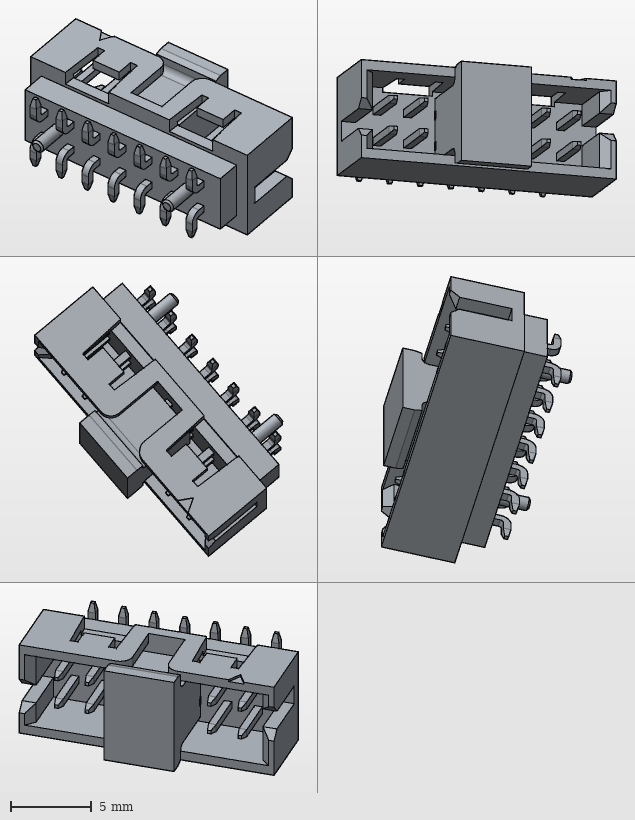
import cadquery as cq


shroud_length = 16.65
shroud_depth = 4.71
shroud_height = 6.28
side_wall = 0.63
end_wall = 0.92
floor_thickness = 0.8
cavity_length = shroud_length - 2 * end_wall
cavity_height = shroud_height - 2 * side_wall
mouth_lead_in = 0.57

base_length = 15.0
base_height = 3.98
base_depth = 1.7

pins_per_row = 7
pin_pitch = 2.0
pin_wire = 0.5
pin_row_offset = 0.98
pin_front = 4.43
pin_rear = -2.91
pin_foot_end = 2.63
pin_taper = 0.6
pin_tip = 0.23
bend_inner_radius = 0.2

peg_diameter = 0.85
peg_end = -3.88
peg_chamfer = 0.13
peg_spacing = 9.99

window_offset = 2 * pin_pitch
window_rear_width = 3.31
window_front_width = 3.01
window_front = 3.2
window_floor = 2.23
tab_width = 2.01
tab_rear = 2.0

notch_width = 2.36
notch_corner_radius = 0.83

slot_near = 0.13
slot_far = 1.13
slot_flare = mouth_lead_in

mark_position = -5.86
mark_width = 1.0
mark_length = 0.85
mark_depth = 0.13

cap_width = 4.58
cap_front = 6.18
cap_rear = 1.1
head_height = 6.35
head_chamfer_front = 5.41
head_rear = 4.93
head_rear_height = 6.08
stem_height = 4.03
fillet_radius = 0.48
cap_foot_width = 0.75


def block(x_range, y_range, z_range):
    """Box given by its limits along each axis."""
    lows, highs = zip(x_range, y_range, z_range)
    sizes = [high - low for low, high in zip(lows, highs)]
    return cq.Workplane("XY").box(*sizes, centered=False).translate(lows)


def centered_block(length, y_range, height):
    """Box centred on the Y axis in X and Z."""
    return block((-length / 2, length / 2), y_range, (-height / 2, height / 2))


def plate(sketch, bottom, top):
    """Extrude an outline drawn in X and Y between two Z levels."""
    return sketch.extrude(top - bottom).translate((0, 0, bottom))


def turned_half_way(shape):
    """The same shape turned half a turn about the Y axis."""
    return shape.rotate((0, 0, 0), (0, 1, 0), 180)


def make_window(center_x):
    """Tapered wall window, open to the rear, with its tab left standing."""
    outline = (
        cq.Workplane("XY")
        .moveTo(center_x - window_rear_width / 2, 0)
        .lineTo(center_x - window_front_width / 2, window_front)
        .lineTo(center_x + window_front_width / 2, window_front)
        .lineTo(center_x + window_rear_width / 2, 0)
        .close()
    )
    opening = plate(outline, window_floor, shroud_height / 2)
    tab = block(
        (center_x - tab_width / 2, center_x + tab_width / 2),
        (tab_rear, window_front),
        (window_floor, shroud_height / 2),
    )
    return opening.cut(tab)


def make_notch():
    """Wall notch open to the front, flaring out in two rounded corners."""
    half = notch_width / 2
    radius = notch_corner_radius
    outline = (
        cq.Workplane("XY")
        .moveTo(-half, floor_thickness)
        .lineTo(half, floor_thickness)
        .lineTo(half, shroud_depth - radius)
        .radiusArc((half + radius, shroud_depth), radius)
        .lineTo(-half - radius, shroud_depth)
        .radiusArc((-half, shroud_depth - radius), radius)
        .close()
    )
    return plate(outline, 0, shroud_height / 2)


def make_end_slot():
    """Slot through the -X end wall, flared at the mouth."""
    outline = (
        cq.Workplane("YZ")
        .moveTo(floor_thickness, -slot_near)
        .lineTo(floor_thickness, slot_far)
        .lineTo(shroud_depth - slot_flare, slot_far)
        .lineTo(shroud_depth, slot_far + slot_flare)
        .lineTo(shroud_depth, -slot_near - slot_flare)
        .lineTo(shroud_depth - slot_flare, -slot_near)
        .close()
    )
    return outline.extrude(end_wall).translate((-shroud_length / 2, 0, 0))


def make_mark():
    """Shallow triangle at the front edge of the upper wall."""
    outline = (
        cq.Workplane("XY")
        .moveTo(mark_position - mark_width / 2, shroud_depth)
        .lineTo(mark_position + mark_width / 2, shroud_depth)
        .lineTo(mark_position, shroud_depth - mark_length)
        .close()
    )
    return plate(outline, shroud_height / 2 - mark_depth, shroud_height / 2)


def make_cavity():
    """Cavity whose end walls slope apart at the mouth."""
    half = cavity_length / 2
    lead_in_start = shroud_depth - mouth_lead_in
    outline = (
        cq.Workplane("XY")
        .moveTo(-half, floor_thickness)
        .lineTo(half, floor_thickness)
        .lineTo(half, lead_in_start)
        .lineTo(half + mouth_lead_in, shroud_depth)
        .lineTo(-half - mouth_lead_in, shroud_depth)
        .lineTo(-half, lead_in_start)
        .close()
    )
    return plate(outline, -cavity_height / 2, cavity_height / 2)


def make_shroud():
    shroud = centered_block(shroud_length, (0, shroud_depth), shroud_height)
    base = centered_block(base_length, (-base_depth, 0), base_height)
    shroud = shroud.cut(make_cavity()).union(base)
    for center_x in (-window_offset, window_offset):
        shroud = shroud.cut(make_window(center_x))
    end_slot = make_end_slot()
    shroud = shroud.cut(make_notch()).cut(make_mark())
    return shroud.cut(end_slot).cut(turned_half_way(end_slot))


def make_pin():
    """One upper-row pin at X = 0: contact, bend and foot, tapered at both ends."""
    lower = pin_row_offset - pin_wire / 2
    upper = pin_row_offset + pin_wire / 2
    bend_outer_radius = bend_inner_radius + pin_wire
    bend_top = upper + bend_inner_radius
    bend_start = pin_rear + bend_outer_radius
    foot_shoulder = pin_foot_end - pin_taper
    contact_shoulder = pin_front - pin_taper
    wire = (
        cq.Workplane("YZ")
        .moveTo(contact_shoulder, lower)
        .lineTo(bend_start, lower)
        .radiusArc((pin_rear, bend_top), bend_outer_radius)
        .lineTo(pin_rear, foot_shoulder)
        .lineTo(pin_rear + pin_wire, foot_shoulder)
        .lineTo(pin_rear + pin_wire, bend_top)
        .radiusArc((bend_start, upper), -bend_inner_radius)
        .lineTo(contact_shoulder, upper)
        .close()
        .extrude(pin_wire / 2, both=True)
    )
    point = (
        cq.Workplane("XY")
        .rect(pin_wire, pin_wire)
        .workplane(offset=pin_taper)
        .rect(pin_tip, pin_tip)
        .loft()
    )
    foot_point = point.translate((0, pin_rear + pin_wire / 2, foot_shoulder))
    contact_point = point.rotate((0, 0, 0), (1, 0, 0), -90).translate(
        (0, contact_shoulder, pin_row_offset)
    )
    return wire.union(foot_point).union(contact_point)


def make_peg(center_x):
    """Round peg standing out of the base toward -Y."""
    return (
        cq.Workplane("XZ", origin=(center_x, -base_depth, 0))
        .circle(peg_diameter / 2)
        .extrude(-base_depth - peg_end)
        .faces("<Y")
        .chamfer(peg_chamfer)
    )


def make_cap():
    """Cap of constant section: wide head, filleted neck and stem between the walls."""
    upper_half = (
        cq.Workplane("YZ")
        .moveTo(cap_rear, 0)
        .lineTo(cap_rear, stem_height / 2)
        .lineTo(head_rear - fillet_radius, stem_height / 2)
        .radiusArc((head_rear, stem_height / 2 + fillet_radius), -fillet_radius)
        .lineTo(head_rear, head_rear_height / 2)
        .lineTo(head_chamfer_front, head_height / 2)
        .lineTo(cap_front, head_height / 2)
        .lineTo(cap_front, 0)
        .close()
        .extrude(cap_width / 2, both=True)
    )
    foot = block(
        (-cap_foot_width / 2, cap_foot_width / 2),
        (floor_thickness, cap_rear),
        (-stem_height / 2, -slot_near),
    )
    return upper_half.union(turned_half_way(upper_half)).union(foot)


result = make_shroud().union(make_cap())

upper_pin = make_pin()
lower_pin = turned_half_way(upper_pin)
for index in range(pins_per_row):
    pin_x = (index - (pins_per_row - 1) / 2) * pin_pitch
    for pin in (upper_pin, lower_pin):
        result = result.union(pin.translate((pin_x, 0, 0)))

for peg_x in (-peg_spacing / 2, peg_spacing / 2):
    result = result.union(make_peg(peg_x))